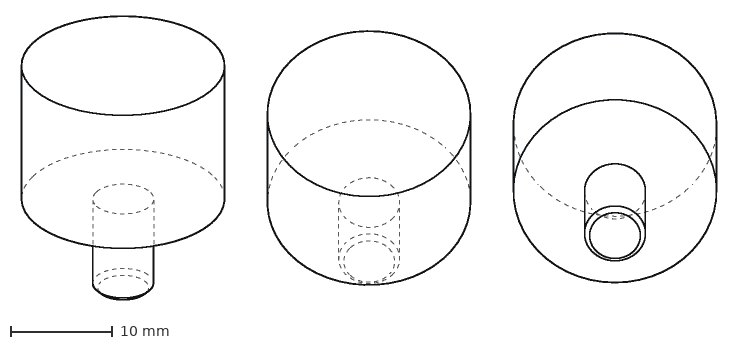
import cadquery as cq

total_height = 25.0
body_diameter = 20.0
body_height = 15.0
stud_diameter = 6.0
stud_chamfer = 0.5
stud_length = total_height - body_height


def make_body():
    """Cylindrical body standing on the XY plane."""
    return cq.Workplane("XY").circle(body_diameter / 2).extrude(body_height)


def make_stud():
    """Stud hanging below the body, chamfered at its free end."""
    stud = cq.Workplane("XY").circle(stud_diameter / 2).extrude(-stud_length)
    return stud.faces("<Z").chamfer(stud_chamfer)


result = make_body().union(make_stud())